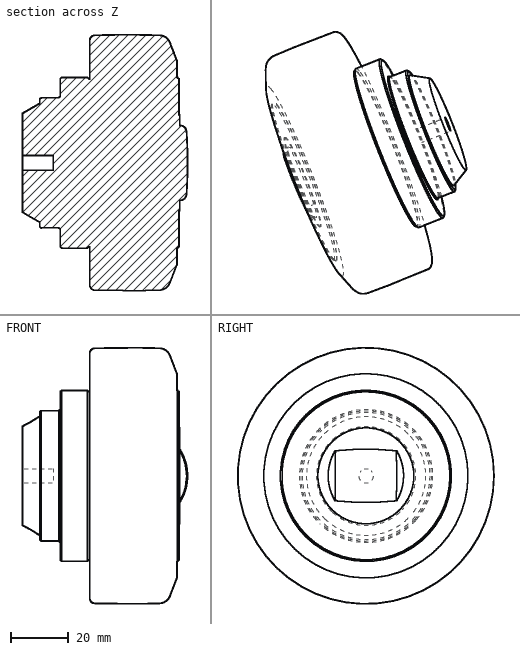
import cadquery as cq
import math

edge_break = 0.5

tip_radius = 17.1
taper_radius = 20.5
taper_end_x = 5.9
pin_radius = 45.0 / 2
pin_end_x = 13.0
flare = 0.4
center_hole_diameter = 4.95
center_hole_depth = 10.6

collar_radius = 59.0 / 2
collar_end_x = 23.0

wheel_radius = 44.2
tread_edge_radius = 44.0
wheel_start_x = 23.2
inner_round = 1.95
tread_end_x = 47.1
outer_round = 4.1
wheel_end_x = 53.3
outer_face_radius = 35.2
cone_angle = math.radians(68.5)

cover_radius = collar_radius
cover_end_x = 54.0
disc_radius = 16.5
disc_end_x = 54.3

overall_length = 57.0
lug_half_width = 9.2
lug_middle_length = 21.2
lug_end_height = 2.4
lug_root_depth = 0.7
lug_height = overall_length - disc_end_x
lug_arc_radius = (lug_half_width**2 + lug_height**2) / (2 * lug_height)


def revolve_about_x(outline):
    """Turn a closed (x, radius) outline into a solid of revolution."""
    return outline.close().revolve(360, (0, 0, 0), (1, 0, 0))


def make_pin():
    outline = (
        cq.Workplane("XY")
        .lineTo(0, tip_radius)
        .lineTo(taper_end_x, taper_radius)
        .lineTo(taper_end_x, pin_radius - edge_break)
        .lineTo(taper_end_x + edge_break, pin_radius)
        .lineTo(pin_end_x - flare, pin_radius)
        .lineTo(pin_end_x, pin_radius + flare)
        .lineTo(pin_end_x, 0)
    )
    return revolve_about_x(outline)


def make_cylinder(start_x, end_x, radius):
    return cq.Workplane("YZ", origin=(start_x, 0, 0)).circle(radius).extrude(end_x - start_x)


def make_collar():
    collar = make_cylinder(pin_end_x, collar_end_x, collar_radius).edges().chamfer(edge_break)
    neck = make_cylinder(collar_end_x, wheel_start_x, collar_radius - edge_break)
    return collar.union(neck)


def make_wheel():
    tread_start_x = wheel_start_x + inner_round
    tread_middle_x = (tread_start_x + tread_end_x) / 2
    diagonal = inner_round * math.sqrt(0.5)
    inner_center_radius = tread_edge_radius - inner_round
    outer_center_radius = tread_edge_radius - outer_round

    def outer_round_point(angle):
        return (
            tread_end_x + outer_round * math.sin(angle),
            outer_center_radius + outer_round * math.cos(angle),
        )

    outline = (
        cq.Workplane("XY")
        .moveTo(wheel_start_x, 0)
        .lineTo(wheel_start_x, inner_center_radius)
        .threePointArc(
            (tread_start_x - diagonal, inner_center_radius + diagonal),
            (tread_start_x, tread_edge_radius),
        )
        .threePointArc((tread_middle_x, wheel_radius), (tread_end_x, tread_edge_radius))
        .threePointArc(outer_round_point(cone_angle / 2), outer_round_point(cone_angle))
        .lineTo(wheel_end_x, outer_face_radius)
        .lineTo(wheel_end_x, 0)
    )
    return revolve_about_x(outline)


def make_cover():
    cover = make_cylinder(wheel_end_x, cover_end_x, cover_radius).faces(">X").edges().chamfer(edge_break)
    return cover.union(make_cylinder(cover_end_x, disc_end_x, disc_radius))


def dome_segment(base_x, height):
    """Outline of the lug's cross-section arc above base_x, in the XZ plane."""
    half_width = math.sqrt(2 * lug_arc_radius * height - height**2)
    return (
        cq.Workplane("XZ")
        .moveTo(base_x, -half_width)
        .threePointArc((base_x + height, 0), (base_x, half_width))
        .close()
    )


def make_lug():
    half_length = lug_middle_length / 2
    crown_drop = lug_height - lug_end_height
    crown_radius = (half_length**2 + crown_drop**2) / (2 * crown_drop)
    half_angle = math.degrees(math.asin(half_length / crown_radius))
    axis_x = overall_length - crown_radius
    axis_start = (axis_x, 0, 0)
    axis_end = (axis_x, 0, 1)

    lug = (
        dome_segment(disc_end_x - lug_root_depth, lug_height + lug_root_depth)
        .revolve(2 * half_angle, (axis_x, 0, 0), (axis_x, 1, 0))
        .rotate(axis_start, axis_end, -half_angle)
    )
    round_end = dome_segment(disc_end_x, lug_end_height).revolve(
        360, (disc_end_x, 0, 0), (disc_end_x, 1, 0)
    )
    for side in (-1, 1):
        lug = lug.union(round_end.translate((0, side * half_length, 0)))
    return lug


center_hole = make_cylinder(0, center_hole_depth, center_hole_diameter / 2)

result = (
    make_pin()
    .union(make_collar())
    .union(make_wheel())
    .union(make_cover())
    .union(make_lug())
    .cut(center_hole)
)